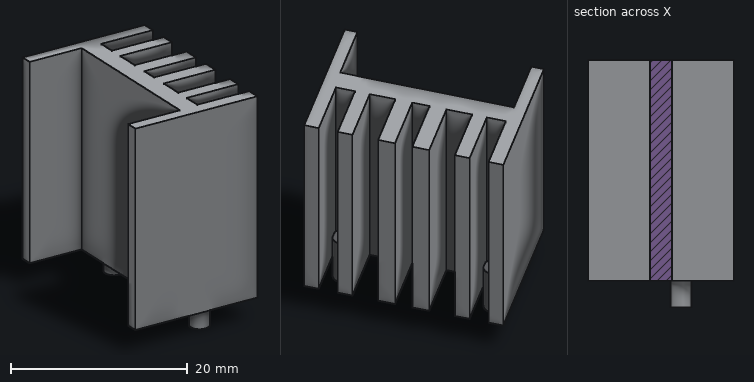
import cadquery as cq

width = 23.5
depth = 16.5
total_height = 28.0

fin_length = 7.0
leg_length = 7.0
leg_thickness = 1.5
side_fin_thickness = 1.75
middle_fin_thickness = 2.0
pin_slot_width = 2.25
wide_slot_width = 3.02

pin_diameter = 2.4
pin_protrusion = 3.0
pin_insertion = 3.0
pin_offset_from_web = 1.0

body_height = total_height - pin_protrusion
web_thickness = depth - fin_length - leg_length
web_back = leg_length + web_thickness

outer_fin_edge = width / 2
second_fin_edge = outer_fin_edge - side_fin_thickness - pin_slot_width
middle_fin_edge = second_fin_edge - side_fin_thickness - wide_slot_width
pin_x = outer_fin_edge - side_fin_thickness - pin_slot_width / 2


def upright_block(x_center, y_start, x_size, y_size):
    """Block of body height standing on the z = 0 plane."""
    block = cq.Workplane("XY").box(x_size, y_size, body_height, centered=(True, False, False))
    return block.translate((x_center, y_start, 0))


def mounting_pin(x_center):
    """Round pin reaching from below the body up into its slot."""
    return (
        cq.Workplane("XY", origin=(x_center, web_back + pin_offset_from_web, -pin_protrusion))
        .circle(pin_diameter / 2)
        .extrude(pin_protrusion + pin_insertion)
    )


result = upright_block(0, leg_length, width, web_thickness)

fins = (
    (outer_fin_edge, side_fin_thickness),
    (second_fin_edge, side_fin_thickness),
    (middle_fin_edge, middle_fin_thickness),
)

for side in (-1, 1):
    leg_x = side * (width - leg_thickness) / 2
    result = result.union(upright_block(leg_x, 0, leg_thickness, leg_length))
    for outer_edge, thickness in fins:
        fin_x = side * (outer_edge - thickness / 2)
        result = result.union(upright_block(fin_x, web_back, thickness, fin_length))
    result = result.union(mounting_pin(side * pin_x))